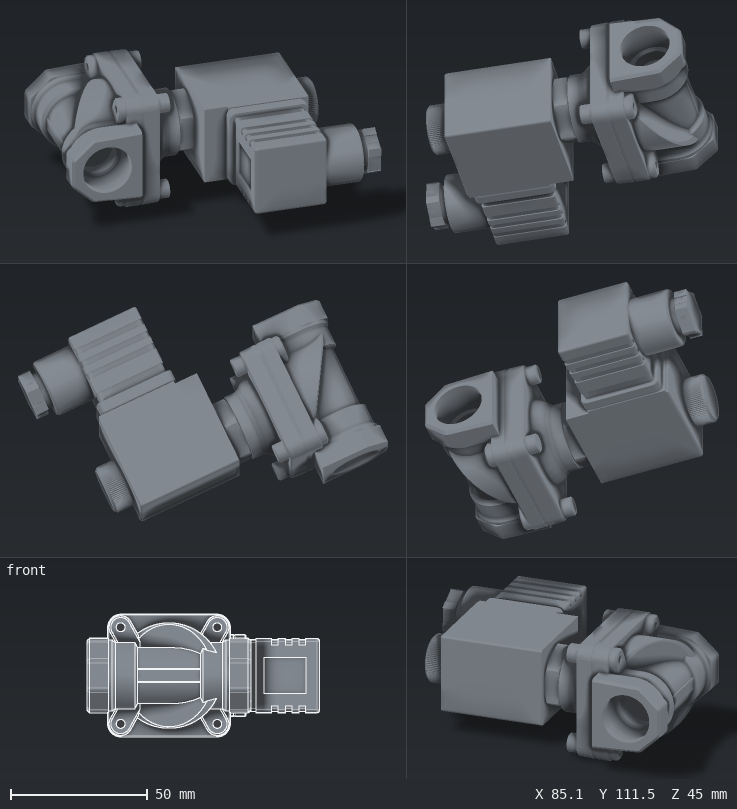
import cadquery as cq
import math

SIDES = (-1, 1)
TOTAL_LENGTH = 111.5

PORT_END = 30.0
PORT_INNER = 22.1
PORT_TOP = 13.3
PORT_BOTTOM = -13.4
PORT_TOP_HALF = 13.7
PORT_SHOULDER_HALF = 12.9
PORT_FOOT_HALF = 5.6
PORT_SHOULDER_Y = -5.4
PORT_EDGE_RADIUS = 2.3
PORT_CHAMFER = 1.0
PORT_BORE = 18.6
PORT_BORE_DEPTH = 12.7
PORT_INNER_BORE = 14.7
PORT_INNER_DEPTH = 17.8

RING_RADIUS = 13.0
RING_INNER = 20.9
BLEND_RADIUS = 12.5
BLEND_X = 20.2
COLLAR_RADIUS = 12.2
COLLAR_OUTER = 19.5
COLLAR_INNER = 12.5
WAIST_RADIUS = 10.3
WAIST_END = 11.5
PLATE_HALF_WIDTH = 2.2
PLATE_BOTTOM = -10.4
PLATE_ROOT_HALF_WIDTH = 2.9
PLATE_ROOT = -9.5

CHAMBER_RADIUS = 19.3
CHAMBER_SLOPE = 31.2
CHAMBER_FLOOR_Y = 0.6
FLOOR_RADIUS = 18.7
BEVEL_ANGLE = 19.0

FLANGE_SIZE = 45.0
FLANGE_CORNER = 5.0
FLANGE_BOTTOM = 9.9
FLANGE_TOP = 15.2
FLANGE_FILLET = 0.6
GASKET_SIZE = 44.6
COVER_BOTTOM = 16.5
COVER_TOP = 22.8
COVER_DRAFT = 2.0
COVER_FILLET = 1.0

SCREW_OFFSET = 17.68
SCREW_HEAD_DIAMETER = 7.0
SCREW_HEAD_TOP = 26.9
SCREW_HEAD_CHAMFER = 0.3
BOSS_RADIUS = 4.2
BOSS_BOTTOM = 7.0
BOSS_CHAMFER = 0.7
BOSS_ARM_LENGTH = 11.2
BOSS_ARM_INNER_X = 10.4
BOSS_ARM_ANGLE = 61.0
SCREW_HOLE = 3.2
SCREW_HOLE_DEPTH = 6.7

DOME_BASE_RADIUS = 16.2
DOME_MIDDLE = (15.1, 25.5)
DOME_SHOULDER = (13.3, 27.5)
NECK_RADIUS = 12.5
NECK_BOTTOM = 29.1
NECK_TOP = 33.4
HEX_ACROSS_FLATS = 22.2
HEX_CORNER_CUT = 0.9

COIL_LEFT = -13.7
COIL_RIGHT = 22.5
COIL_BOTTOM = 39.5
COIL_TOP = 79.5
COIL_HALF_DEPTH = 15.0
COIL_FILLET = 1.0
PAD_RIGHT = 23.5
PAD_BOTTOM = 48.4
PAD_TOP = 78.8
KNOB_RADIUS = 9.1
KNOB_TOP = 87.7
KNOB_CHAMFER = 1.0
KNURL_COUNT = 80
KNURL_DEPTH = 0.3

SEAL_RIGHT = 28.1
SEAL_BOTTOM = 47.4
SEAL_TOP = 77.6
SEAL_HALF_DEPTH = 15.0
SEAL_CORNER = 2.5
SEAL_FILLET = 0.9
SEAL_BACK_CHAMFER = 0.3
HOUSING_LEFT = 31.8
HOUSING_RIGHT = 55.1
HOUSING_BOTTOM = 48.7
HOUSING_TOP = 76.3
HOUSING_HALF_DEPTH = 13.6
HOUSING_FILLET = 1.1
HOUSING_END_FILLET = 1.0
HOUSING_INSET = 0.5
GROOVE_COUNT = 3
GROOVE_FIRST_X = 37.6
GROOVE_WIDTH = 2.3
GROOVE_PITCH = 5.0
GROOVE_WRAP_HALF = 11.2
LABEL_LEFT = 34.7
LABEL_RIGHT = 50.2
LABEL_HALF_HEIGHT = 6.6
LABEL_DEPTH = 0.7
ENTRY_X = 43.6
ENTRY_RADIUS = 10.8
ENTRY_TOP = 91.0
ENTRY_FILLET = 1.0
GLAND_NECK_RADIUS = 7.0
GLAND_BOTTOM = 93.4
GLAND_TOP = PORT_BOTTOM + TOTAL_LENGTH
GLAND_ACROSS_FLATS = 16.1
GLAND_STEPS = (0.0, 0.5, 0.6)


def box(x_range, y_range, z_range):
    """A box between two limits on each axis."""
    lows, highs = zip(x_range, y_range, z_range)
    sizes = [high - low for low, high in zip(lows, highs)]
    return cq.Workplane("XY").box(*sizes, centered=False).translate(lows)


def plane_at(y, x=0, z=0):
    """A sketch plane across the coil axis that extrudes toward +Y."""
    return cq.Workplane(cq.Plane(origin=(x, y, z), xDir=(1, 0, 0), normal=(0, 1, 0)))


def rod(radius, y_bottom, y_top, x=0, z=0):
    """A cylinder along Y."""
    return plane_at(y_bottom, x, z).circle(radius).extrude(y_top - y_bottom)


def u_section(radius, x_end):
    """A pipe stretch with a round underside and straight sides up into the flange."""
    pipe = cq.Workplane("YZ").circle(radius).extrude(x_end, both=True)
    sides = box((-x_end, x_end), (0, FLANGE_TOP), (-radius, radius))
    return pipe.union(sides)


def u_taper(x_wide, wide_radius, x_narrow, narrow_radius):
    """A loft from one U-shaped pipe section to another of a different size."""
    def outline(plane, radius):
        return (
            plane.moveTo(FLANGE_BOTTOM, -radius)
            .lineTo(0, -radius)
            .threePointArc((-radius, 0), (0, radius))
            .lineTo(FLANGE_BOTTOM, radius)
            .close()
        )

    wide = outline(cq.Workplane("YZ", origin=(x_wide, 0, 0)), wide_radius)
    return outline(wide.workplane(offset=x_narrow - x_wide), narrow_radius).loft(ruled=True)


def port_block(side):
    """The wrench-shaped block around one pipe port."""
    profile = [
        (PORT_TOP, PORT_TOP_HALF),
        (PORT_SHOULDER_Y, PORT_SHOULDER_HALF),
        (PORT_BOTTOM, PORT_FOOT_HALF),
        (PORT_BOTTOM, -PORT_FOOT_HALF),
        (PORT_SHOULDER_Y, -PORT_SHOULDER_HALF),
        (PORT_TOP, -PORT_TOP_HALF),
    ]
    block = cq.Workplane("YZ", origin=(PORT_INNER, 0, 0)).polyline(profile).close()
    block = block.extrude(PORT_END - PORT_INNER)
    block = block.edges("|X").edges("not >Y").fillet(PORT_EDGE_RADIUS)
    block = block.faces(">X").edges("not >Y").chamfer(PORT_CHAMFER)
    return block if side > 0 else block.mirror("YZ")


def port_bore(side):
    """A blind threaded-port bore with a smaller bore behind it."""
    face = cq.Workplane("YZ", origin=(side * PORT_END, 0, 0))
    outer = face.circle(PORT_BORE / 2).extrude(-side * PORT_BORE_DEPTH)
    inner = face.circle(PORT_INNER_BORE / 2).extrude(-side * PORT_INNER_DEPTH)
    return outer.union(inner)


def pipe():
    body = u_section(WAIST_RADIUS, PORT_INNER)
    plate = [
        (PLATE_ROOT, PLATE_ROOT_HALF_WIDTH),
        (PLATE_BOTTOM, PLATE_HALF_WIDTH),
        (PLATE_BOTTOM, -PLATE_HALF_WIDTH),
        (PLATE_ROOT, -PLATE_ROOT_HALF_WIDTH),
    ]
    body = body.union(cq.Workplane("YZ").polyline(plate).close().extrude(WAIST_END, both=True))
    for side in SIDES:
        collar = u_section(COLLAR_RADIUS, PORT_INNER).cut(u_section(COLLAR_RADIUS, COLLAR_INNER))
        ring = u_section(RING_RADIUS, PORT_INNER).cut(u_section(RING_RADIUS, RING_INNER))
        body = body.union(collar).union(ring)
        body = body.union(u_taper(side * COLLAR_INNER, COLLAR_RADIUS, side * WAIST_END, WAIST_RADIUS))
        body = body.union(u_taper(side * RING_INNER, RING_RADIUS, side * BLEND_X, BLEND_RADIUS))
        body = body.union(u_taper(side * BLEND_X, BLEND_RADIUS, side * COLLAR_OUTER, COLLAR_RADIUS))
        body = body.union(port_block(side))
    return body


def diaphragm_chamber():
    """A round chamber under the flange; a sphere bevels its wall down to a sloping round floor."""
    reach = 2 * CHAMBER_RADIUS
    chamber = rod(CHAMBER_RADIUS, -reach, FLANGE_TOP)
    above_floor = box((-2 * reach, 2 * reach), (0, 2 * reach), (-reach, reach))
    angle = math.radians(BEVEL_ANGLE)
    bevel = cq.Workplane("XY").sphere(FLOOR_RADIUS / math.sin(angle))
    bevel = bevel.translate((0, FLOOR_RADIUS / math.tan(angle), 0))
    sloped = above_floor.intersect(bevel).rotate((0, 0, 0), (0, 0, 1), -CHAMBER_SLOPE)
    return chamber.intersect(sloped.translate((0, CHAMBER_FLOOR_Y, 0)))


def square_plate(size, y_bottom, y_top, draft=0):
    """A square plate with rounded corners, centred on the coil axis."""
    sketch = cq.Sketch().rect(size, size).vertices().fillet(FLANGE_CORNER)
    return plane_at(y_bottom).placeSketch(sketch).extrude(y_top - y_bottom, taper=draft)


def screw_boss(x_side, z_side):
    """A round screw boss with an arm running to the pipe."""
    x = x_side * SCREW_OFFSET
    z = z_side * SCREW_OFFSET
    boss = rod(BOSS_RADIUS, BOSS_BOTTOM, FLANGE_TOP)
    arm = box((0, BOSS_ARM_LENGTH), (BOSS_BOTTOM, FLANGE_TOP), (-BOSS_RADIUS, BOSS_RADIUS))
    boss = boss.union(arm).faces("<Y").edges("not >X").chamfer(BOSS_CHAMFER)
    heading = math.degrees(
        math.atan2(
            z_side * math.sin(math.radians(BOSS_ARM_ANGLE)),
            -x_side * math.cos(math.radians(BOSS_ARM_ANGLE)),
        )
    )
    boss = boss.rotate((0, 0, 0), (0, 1, 0), heading).translate((x, 0, z))
    trim = box((-BOSS_ARM_INNER_X, BOSS_ARM_INNER_X), (0, FLANGE_BOTTOM), (-FLANGE_SIZE, FLANGE_SIZE))
    return boss.cut(trim)


def cover_neck():
    """The domed top of the cover and its round neck."""
    return (
        cq.Workplane("XY")
        .moveTo(0, COVER_TOP)
        .lineTo(DOME_BASE_RADIUS, COVER_TOP)
        .threePointArc(DOME_MIDDLE, DOME_SHOULDER)
        .lineTo(NECK_RADIUS, NECK_BOTTOM)
        .lineTo(NECK_RADIUS, NECK_TOP)
        .lineTo(0, NECK_TOP)
        .close()
        .revolve(360, (0, 0, 0), (0, 1, 0))
    )


def hex_nut():
    """The hexagon below the coil, with its corners turned off at both ends."""
    corner_radius = HEX_ACROSS_FLATS / math.sqrt(3)
    height = COIL_BOTTOM - NECK_TOP
    hexagon = plane_at(NECK_TOP).polygon(6, 2 * corner_radius).extrude(height)
    hexagon = hexagon.rotate((0, 0, 0), (0, 1, 0), 90)
    flat_radius = HEX_ACROSS_FLATS / 2
    envelope = rod(corner_radius, NECK_TOP, COIL_BOTTOM).edges()
    return hexagon.intersect(envelope.chamfer(HEX_CORNER_CUT, corner_radius - flat_radius))


def make_valve():
    flange = square_plate(FLANGE_SIZE, FLANGE_BOTTOM, FLANGE_TOP).faces("<Y").edges().fillet(FLANGE_FILLET)
    gasket = square_plate(GASKET_SIZE, FLANGE_TOP, COVER_BOTTOM)
    cover = square_plate(FLANGE_SIZE, COVER_BOTTOM, COVER_TOP, COVER_DRAFT)
    cover = cover.faces(">Y").edges().fillet(COVER_FILLET)
    valve = pipe().union(diaphragm_chamber()).union(flange)
    for x_side in SIDES:
        for z_side in SIDES:
            valve = valve.union(screw_boss(x_side, z_side))
    valve = valve.union(gasket).union(cover).union(cover_neck()).union(hex_nut())
    for x_side in SIDES:
        valve = valve.cut(port_bore(x_side))
        for z_side in SIDES:
            x = x_side * SCREW_OFFSET
            z = z_side * SCREW_OFFSET
            head = rod(SCREW_HEAD_DIAMETER / 2, COVER_TOP, SCREW_HEAD_TOP, x, z)
            valve = valve.union(head.faces(">Y").edges().chamfer(SCREW_HEAD_CHAMFER))
            valve = valve.cut(rod(SCREW_HOLE / 2, BOSS_BOTTOM, BOSS_BOTTOM + SCREW_HOLE_DEPTH, x, z))
    return valve


def knurled_knob():
    """The retaining knob: a chamfered disc with straight knurling."""
    points = []
    for i in range(2 * KNURL_COUNT):
        angle = math.pi * i / KNURL_COUNT
        radius = KNOB_RADIUS - KNURL_DEPTH * (i % 2)
        points.append((radius * math.cos(angle), radius * math.sin(angle)))
    toothed = plane_at(COIL_TOP).polyline(points).close().extrude(KNOB_TOP - COIL_TOP)
    envelope = rod(KNOB_RADIUS, COIL_TOP, KNOB_TOP).edges().chamfer(KNOB_CHAMFER)
    return toothed.intersect(envelope)


def make_coil():
    half = COIL_HALF_DEPTH
    block = box((COIL_LEFT, COIL_RIGHT), (COIL_BOTTOM, COIL_TOP), (-half, half))
    block = block.edges(">Y or (<X and (not <Y))").fillet(COIL_FILLET)
    pad = box((COIL_RIGHT, PAD_RIGHT), (PAD_BOTTOM, PAD_TOP), (-half, half))
    return block.union(pad).union(knurled_knob())


def housing_box(x_left, x_right, inset):
    """A stretch of the housing, drawn in by `inset` on its four long sides."""
    half = HOUSING_HALF_DEPTH - inset
    stretch = box((x_left, x_right), (HOUSING_BOTTOM + inset, HOUSING_TOP - inset), (-half, half))
    return stretch.edges("|X").fillet(HOUSING_FILLET)


def grip_groove(index):
    """One groove across the +Z and -Z sides, wrapping a little onto the front and back."""
    left = GROOVE_FIRST_X + index * GROOVE_PITCH
    right = left + GROOVE_WIDTH
    y_range = (HOUSING_BOTTOM, HOUSING_TOP)
    slab = box((left, right), y_range, (-HOUSING_HALF_DEPTH, HOUSING_HALF_DEPTH))
    middle = box((left, right), y_range, (-GROOVE_WRAP_HALF, GROOVE_WRAP_HALF))
    return slab.cut(housing_box(left, right, HOUSING_INSET)).cut(middle)


def cable_gland():
    """The gland nut: each face of its hexagon steps back in thirds."""
    flat_radius = GLAND_ACROSS_FLATS / 2
    face_width = GLAND_ACROSS_FLATS / math.sqrt(3)
    third = face_width / len(GLAND_STEPS)
    height = GLAND_TOP - GLAND_BOTTOM
    gland = plane_at(GLAND_BOTTOM).polygon(6, 2 * face_width).extrude(height)
    gland = gland.rotate((0, 0, 0), (0, 1, 0), 90)
    for face in range(6):
        for strip, set_back in enumerate(GLAND_STEPS):
            if set_back == 0:
                continue
            start = face_width / 2 - strip * third
            step = box(
                (flat_radius - set_back, flat_radius + set_back),
                (GLAND_BOTTOM, GLAND_TOP),
                (start - third, start),
            )
            gland = gland.cut(step.rotate((0, 0, 0), (0, 1, 0), 60 * face))
    return gland.translate((ENTRY_X, 0, 0))


def make_plug():
    half = SEAL_HALF_DEPTH
    seal = box((PAD_RIGHT, SEAL_RIGHT), (SEAL_BOTTOM, SEAL_TOP), (-half, half))
    seal = seal.edges("|X").fillet(SEAL_CORNER).faces("<X").edges().fillet(SEAL_FILLET)
    seal = seal.faces(">X").edges().chamfer(SEAL_BACK_CHAMFER)
    waist = housing_box(SEAL_RIGHT, HOUSING_LEFT, HOUSING_INSET)
    housing = housing_box(HOUSING_LEFT, HOUSING_RIGHT, 0).faces(">X").edges().fillet(HOUSING_END_FILLET)
    for index in range(GROOVE_COUNT):
        housing = housing.cut(grip_groove(index))
    label = box(
        (LABEL_LEFT, LABEL_RIGHT),
        (HOUSING_BOTTOM, HOUSING_BOTTOM + LABEL_DEPTH),
        (-LABEL_HALF_HEIGHT, LABEL_HALF_HEIGHT),
    )
    entry = rod(ENTRY_RADIUS, HOUSING_TOP - HOUSING_FILLET, ENTRY_TOP, ENTRY_X)
    entry = entry.faces(">Y").edges().fillet(ENTRY_FILLET)
    gland_neck = rod(GLAND_NECK_RADIUS, ENTRY_TOP, GLAND_BOTTOM, ENTRY_X)
    plug = seal.union(waist).union(housing.cut(label)).union(entry)
    return plug.union(gland_neck).union(cable_gland())


valve = make_valve()
coil = make_coil()
plug = make_plug()
result = cq.Compound.makeCompound([valve.val(), coil.val(), plug.val()])